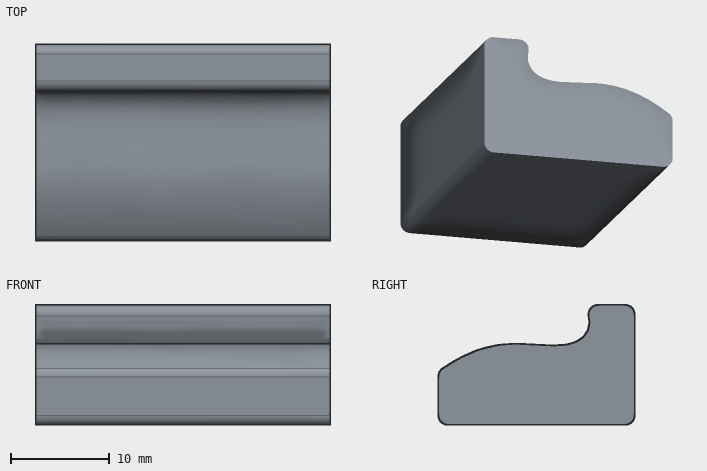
import cadquery as cq
import math

length = 29.85
depth = 19.91
height = 12.18
edge_radius = 1.0

nose_center_from_back = 3.70
nose_end_angle = math.radians(-6)

eave_center_height = 4.90
eave_start_angle = math.radians(56)

undercut = (4.60, 10.40)
cove_wall = (5.22, 8.92)
cove_foot = (6.80, 8.17)
cove_bottom = (8.40, 8.05)
crown_top = (11.90, 8.25)
crown_slope = (15.80, 7.63)


def arc_point(center, angle):
    """Point on an edge-radius circle, with the angle measured from the forward direction."""
    return (
        center[0] + edge_radius * math.cos(angle),
        center[1] + edge_radius * math.sin(angle),
    )


def falling_tangent(angle):
    """Clockwise direction of travel along a rounded edge at the given angle."""
    return (math.sin(angle), -math.cos(angle))


def moulding_profile():
    """Side outline with rounded nose and eave; the back and base corners stay sharp."""
    top_angle = math.pi / 2
    nose_center = (nose_center_from_back, height - edge_radius)
    eave_center = (depth - edge_radius, eave_center_height)
    nose_start = arc_point(nose_center, top_angle)
    nose_middle = arc_point(nose_center, (top_angle + nose_end_angle) / 2)
    nose_end = arc_point(nose_center, nose_end_angle)
    eave_start = arc_point(eave_center, eave_start_angle)
    eave_middle = arc_point(eave_center, eave_start_angle / 2)
    eave_end = arc_point(eave_center, 0)

    sketch_plane = cq.Plane(
        origin=(length / 2, depth / 2, 0),
        xDir=(0, -1, 0),
        normal=(-1, 0, 0),
    )
    return (
        cq.Workplane(sketch_plane)
        .moveTo(0, 0)
        .lineTo(0, height)
        .lineTo(*nose_start)
        .threePointArc(nose_middle, nose_end)
        .spline(
            [undercut, cove_wall, cove_foot, cove_bottom, crown_top, crown_slope, eave_start],
            tangents=[falling_tangent(nose_end_angle), falling_tangent(eave_start_angle)],
            scale=False,
            includeCurrent=True,
        )
        .threePointArc(eave_middle, eave_end)
        .lineTo(depth, 0)
        .close()
    )


def round_back_and_base(body):
    """Round the two lower long edges and the upper back edge."""
    base_rounded = body.faces("<Z").edges("|X").fillet(edge_radius)
    return base_rounded.faces(">Z").edges(">Y").fillet(edge_radius)


result = round_back_and_base(moulding_profile().extrude(length))